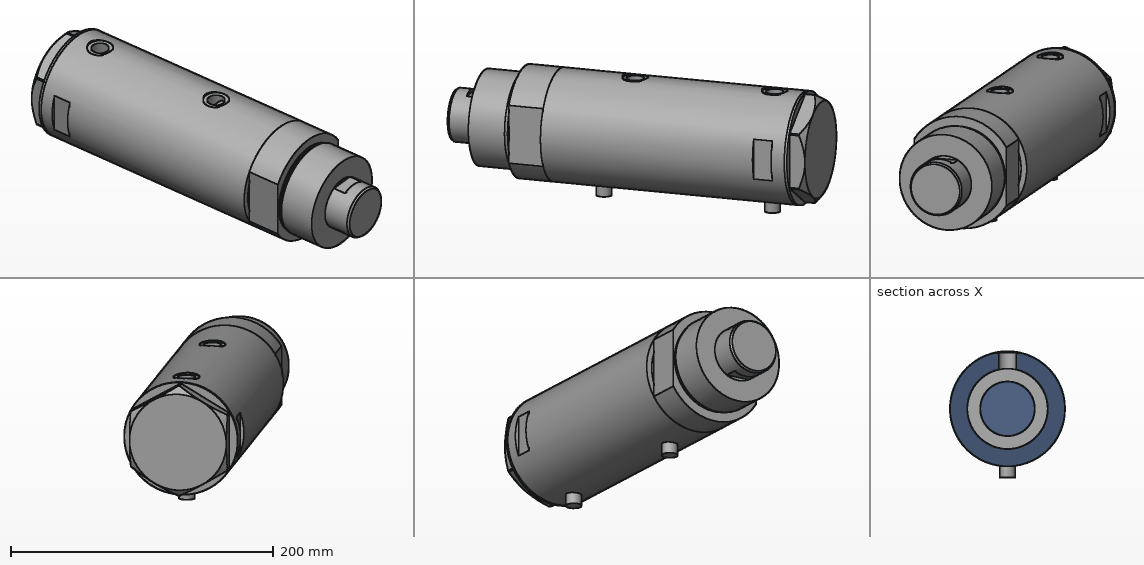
import cadquery as cq
import math

LENGTH = 294.3
HEX_END = 12.5
CAP_END = 14.5
PLUG_END = 41.0
PISTON_END = 143.5
GLAND_START = 149.5
BARREL_END = 211.0
FLATS_END = 238.7
NECK_END = 240.1
COLLAR_START = 242.2
COLLAR_END = 271.3
ROD_FLATS_END = 282.2

BARREL_DIAMETER = 88.0
BARREL_RADIUS = BARREL_DIAMETER / 2
SPIGOT_RADIUS = 39.5
HEX_CORNER_RADIUS = 43.0
BORE_RADIUS = 30.5
NECK_RADIUS = 36.5
ROD_RADIUS = 21.0

WRENCH_SIZE = 75.0
COLLAR_RADIUS = WRENCH_SIZE / 2
ROD_FLATS_SIZE = 36.8
HEX_CHAMFER_LENGTH = 4.7
ROD_CHAMFER_LENGTH = 1.8
ROD_CHAMFER_DEPTH = 1.2

SLOT_START = 25.0
SLOT_END = 40.0
SLOT_FLATS_SIZE = 82.0
PORT_STATIONS = (37.0, GLAND_START)
PORT_RADIUS = 6.8
SPOTFACE_RADIUS = 10.0
SPOTFACE_HEIGHT = 42.7
PIN_STATIONS = (38.8, 174.8)
PIN_DIAMETER = 12.0
PIN_RADIUS = PIN_DIAMETER / 2
PIN_LENGTH = 8.5


def cylinder(start, end, radius):
    """Solid cylinder on the X axis between two stations."""
    return cq.Workplane("YZ").workplane(offset=start).circle(radius).extrude(end - start)


def turned(points):
    """Solid of revolution about X from an outline of (station, radius) points."""
    return cq.Workplane("XY").polyline(points).close().revolve(360, (0, 0, 0), (1, 0, 0))


def slab(start, end, y_size, z_size):
    """Block centred on the X axis between two stations."""
    return cq.Workplane("YZ").workplane(offset=start).rect(y_size, z_size).extrude(end - start)


def make_cap():
    """Hexagonal end cap with a thin round flange and an inner plug."""
    hex_diameter = WRENCH_SIZE / math.cos(math.pi / 6)
    head = (
        cq.Workplane("YZ")
        .transformed(rotate=(0, 0, 90))
        .polygon(6, hex_diameter)
        .extrude(HEX_END)
    )
    envelope = turned([
        (0, 0),
        (0, WRENCH_SIZE / 2),
        (HEX_CHAMFER_LENGTH, HEX_CORNER_RADIUS),
        (HEX_END, HEX_CORNER_RADIUS),
        (HEX_END, 0),
    ])
    flange = cylinder(HEX_END, CAP_END, BARREL_RADIUS)
    plug = cylinder(CAP_END, PLUG_END, BORE_RADIUS)
    return head.intersect(envelope).union(flange).union(plug)


def make_barrel():
    """Stepped tube with two side slots, two ports on top and two locating pins below."""
    outside = cylinder(CAP_END, BARREL_END, BARREL_RADIUS)

    slot_ring = cylinder(SLOT_START, SLOT_END, BARREL_RADIUS)
    slot_core = slab(SLOT_START, SLOT_END, SLOT_FLATS_SIZE, BARREL_DIAMETER)
    barrel = outside.cut(slot_ring.cut(slot_core))

    for station in PIN_STATIONS:
        pin = (
            cq.Workplane("XY")
            .center(station, 0)
            .circle(PIN_RADIUS)
            .extrude(-(BARREL_RADIUS + PIN_LENGTH))
        )
        barrel = barrel.union(pin)

    barrel = barrel.cut(cylinder(CAP_END, GLAND_START, BORE_RADIUS))
    barrel = barrel.cut(cylinder(GLAND_START, BARREL_END, SPIGOT_RADIUS))

    for station in PORT_STATIONS:
        port = cq.Workplane("XY").center(station, 0).circle(PORT_RADIUS).extrude(BARREL_RADIUS)
        spotface = (
            cq.Workplane("XY")
            .workplane(offset=SPOTFACE_HEIGHT)
            .center(station, 0)
            .circle(SPOTFACE_RADIUS)
            .extrude(BARREL_RADIUS - SPOTFACE_HEIGHT)
        )
        barrel = barrel.cut(port).cut(spotface)
    return barrel


def make_gland():
    """Rod guide: spigot in the barrel, flatted flange, undercut and collar."""
    body = turned([
        (GLAND_START, ROD_RADIUS),
        (GLAND_START, SPIGOT_RADIUS),
        (BARREL_END, SPIGOT_RADIUS),
        (BARREL_END, BARREL_RADIUS),
        (FLATS_END, BARREL_RADIUS),
        (FLATS_END, NECK_RADIUS),
        (NECK_END, NECK_RADIUS),
        (COLLAR_START, COLLAR_RADIUS),
        (COLLAR_END, COLLAR_RADIUS),
        (COLLAR_END, ROD_RADIUS),
    ])
    flange_ring = cylinder(BARREL_END, FLATS_END, BARREL_RADIUS)
    flange_core = slab(BARREL_END, FLATS_END, WRENCH_SIZE, BARREL_DIAMETER)
    return body.cut(flange_ring.cut(flange_core))


def make_piston_rod():
    """Piston and rod in one piece: flats and a chamfer at the rod end."""
    body = turned([
        (PLUG_END, 0),
        (PLUG_END, BORE_RADIUS),
        (PISTON_END, BORE_RADIUS),
        (PISTON_END, ROD_RADIUS),
        (LENGTH - ROD_CHAMFER_LENGTH, ROD_RADIUS),
        (LENGTH, ROD_RADIUS - ROD_CHAMFER_DEPTH),
        (LENGTH, 0),
    ])
    flats_ring = cylinder(COLLAR_END, ROD_FLATS_END, ROD_RADIUS)
    flats_core = slab(COLLAR_END, ROD_FLATS_END, 2 * ROD_RADIUS, ROD_FLATS_SIZE)
    return body.cut(flats_ring.cut(flats_core))


cap = make_cap()
barrel = make_barrel()
gland = make_gland()
piston_rod = make_piston_rod()

result = cq.Compound.makeCompound([
    cap.val(),
    barrel.val(),
    gland.val(),
    piston_rod.val(),
])